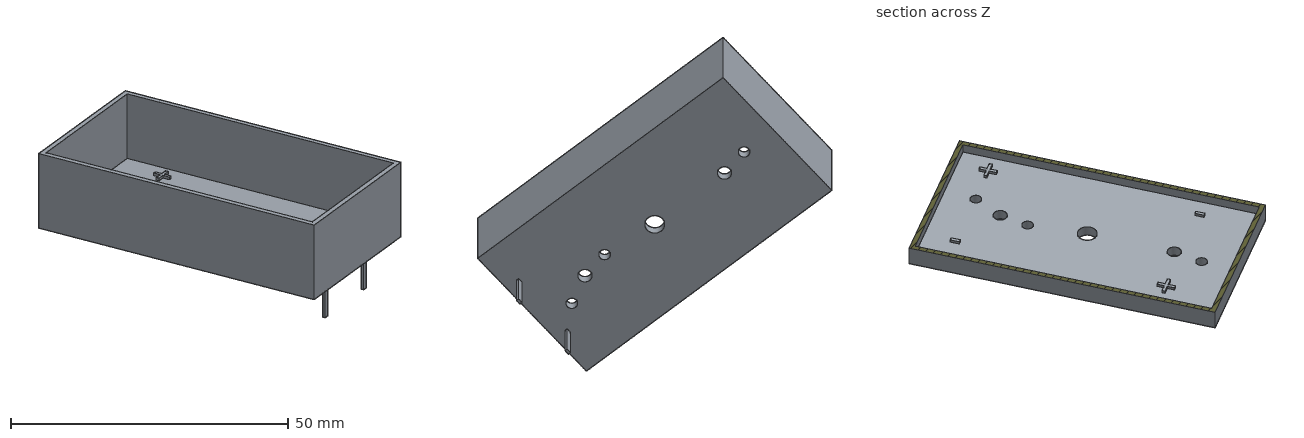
import cadquery as cq

LENGTH = 57.9
WIDTH = 30.45
TOTAL_HEIGHT = 22.45
PIN_LENGTH = 7.5
HOUSING_HEIGHT = TOTAL_HEIGHT - PIN_LENGTH
WALL = 1.0
FLOOR = 2.0

CENTRE_HOLE_DIAMETER = 3.6
MOUNT_HOLE_DIAMETER = 2.55
SMALL_HOLE_DIAMETER = 2.1
MOUNT_X = 16.45
SMALL_HOLE_OFFSET_X = 5.5
UPPER_SMALL_HOLE_Y = 1.05
LOWER_SMALL_HOLE_Y = -2.85

LEFT_MARK_X = -18.05
RIGHT_MARK_X = 21.9
MARK_Y = 10.0
MINUS_DROP = 0.25
PLUS_SPAN = 3.3
MINUS_SPAN = 1.75
MARK_STROKE = 0.6
MARK_CLEARANCE = 0.45
MARK_HEIGHT = 0.5

PIN_X = 26.25
PIN_SPACING = 13.55
PIN_THICKNESS = 0.5
PIN_WIDTH = 1.0


def drill(body, diameter, points):
    """Cut holes of one diameter through the floor."""
    cutters = cq.Workplane("XY").pushPoints(points).circle(diameter / 2).extrude(FLOOR)
    return body.cut(cutters)


def bar(x, y, size_x, size_y):
    """Bar just above the floor."""
    return cq.Workplane("XY", origin=(x, y, FLOOR + MARK_CLEARANCE)).rect(size_x, size_y).extrude(MARK_HEIGHT)


def plus_mark(x, y):
    return bar(x, y, PLUS_SPAN, MARK_STROKE).union(bar(x, y, MARK_STROKE, PLUS_SPAN))


def minus_mark(x, y):
    return bar(x, y, MINUS_SPAN, MARK_STROKE)


def make_housing():
    body = cq.Workplane("XY").rect(LENGTH, WIDTH).extrude(HOUSING_HEIGHT)
    cavity = (
        cq.Workplane("XY", origin=(0, 0, FLOOR))
        .rect(LENGTH - 2 * WALL, WIDTH - 2 * WALL)
        .extrude(HOUSING_HEIGHT - FLOOR)
    )
    body = body.cut(cavity)

    small_holes = [
        (-MOUNT_X - SMALL_HOLE_OFFSET_X, UPPER_SMALL_HOLE_Y),
        (MOUNT_X - SMALL_HOLE_OFFSET_X, UPPER_SMALL_HOLE_Y),
        (MOUNT_X + SMALL_HOLE_OFFSET_X, LOWER_SMALL_HOLE_Y),
    ]
    body = drill(body, CENTRE_HOLE_DIAMETER, [(0, 0)])
    body = drill(body, MOUNT_HOLE_DIAMETER, [(-MOUNT_X, 0), (MOUNT_X, 0)])
    body = drill(body, SMALL_HOLE_DIAMETER, small_holes)

    for y in (-PIN_SPACING / 2, PIN_SPACING / 2):
        body = body.union(make_pin(y))
    return body


def make_pin(y):
    """Flat pin hanging from the underside of the housing."""
    return cq.Workplane("XY", origin=(PIN_X, y, 0)).rect(PIN_THICKNESS, PIN_WIDTH).extrude(-PIN_LENGTH)


housing = make_housing()

plus_marks = []
minus_marks = []
for x, side in ((LEFT_MARK_X, 1), (RIGHT_MARK_X, -1)):
    plus_marks.append(plus_mark(x, side * MARK_Y).val())
    minus_marks.append(minus_mark(x, -side * MARK_Y - MINUS_DROP).val())

result = cq.Compound.makeCompound([housing.val(), *plus_marks, *minus_marks])